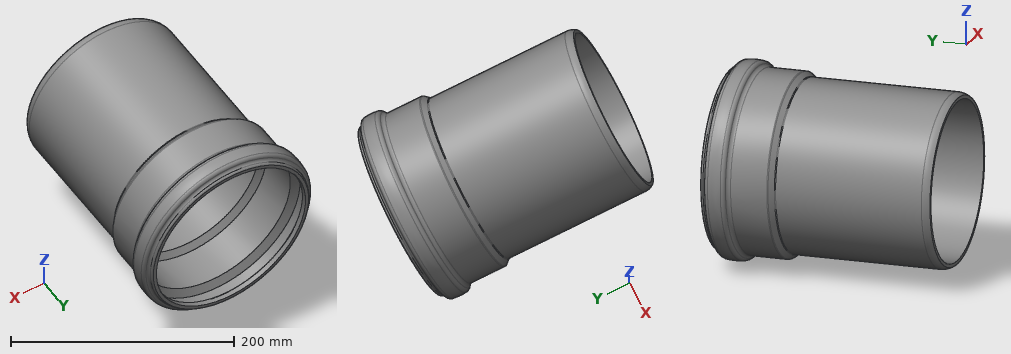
import cadquery as cq

length = 214.8
pipe_radius = 160.5 / 2
bore_radius = 149.5 / 2
socket_radius = 170.1 / 2
socket_bore_radius = 160.0 / 2
bead_radius = 182.0 / 2
groove_radius = 174.0 / 2

spigot_round_length = 7.3
spigot_round_depth = 2.4

cone_start_y = length - 69.2
cone_end_y = length - 63.5
cone_edge_fillet = 1.5

shoulder_start_y = length - 28.8
shoulder_mid_y = length - 25.0
crest_start_y = length - 20.8
crest_end_y = length - 8.8
back_shoulder_mid_y = length - 5.2
crest_bulge = 0.5
crest_edge_radius = bead_radius - crest_bulge
crest_mid_y = (crest_start_y + crest_end_y) / 2
shoulder_mid_radius = (socket_radius + crest_edge_radius) / 2

lip_length = 2.5
lip_radius = 84.8
lip_round_depth = 1.5

groove_flank_inset = 1.0
groove_floor_start_y = crest_start_y + groove_flank_inset
groove_floor_end_y = crest_end_y - groove_flank_inset


def arc_radius(axial, radial):
    """Radius of an arc that leaves the axial direction and drifts by radial over axial."""
    return (axial**2 + radial**2) / (2 * radial)


spigot_arc = arc_radius(spigot_round_length, spigot_round_depth)
front_shoulder_arc = arc_radius(crest_start_y - shoulder_mid_y, crest_edge_radius - shoulder_mid_radius)
back_shoulder_arc = arc_radius(back_shoulder_mid_y - crest_end_y, crest_edge_radius - shoulder_mid_radius)
lip_arc = arc_radius(lip_length, lip_round_depth)

section = (
    cq.Workplane("XY")
    .moveTo(bore_radius, 0)
    .lineTo(pipe_radius - spigot_round_depth, 0)
    .radiusArc((pipe_radius, spigot_round_length), -spigot_arc)
    .lineTo(pipe_radius, cone_start_y)
    .lineTo(socket_radius, cone_end_y)
    .lineTo(socket_radius, shoulder_start_y)
    .radiusArc((shoulder_mid_radius, shoulder_mid_y), front_shoulder_arc)
    .radiusArc((crest_edge_radius, crest_start_y), -front_shoulder_arc)
    .threePointArc((bead_radius, crest_mid_y), (crest_edge_radius, crest_end_y))
    .radiusArc((shoulder_mid_radius, back_shoulder_mid_y), -back_shoulder_arc)
    .radiusArc((lip_radius, length - lip_length), back_shoulder_arc)
    .radiusArc((lip_radius - lip_round_depth, length), -lip_arc)
    .lineTo(socket_bore_radius, length)
    .lineTo(socket_bore_radius, back_shoulder_mid_y)
    .lineTo(groove_radius, groove_floor_end_y)
    .lineTo(groove_radius, groove_floor_start_y)
    .lineTo(socket_bore_radius, shoulder_mid_y)
    .lineTo(socket_bore_radius, cone_end_y)
    .lineTo(bore_radius, cone_start_y)
    .close()
)
body = section.revolve(360, (0, 0, 0), (0, 1, 0))


def circle_at(radius, y):
    """Selector for the circular edge of the given radius around the Y axis."""
    margin = 0.2
    return cq.selectors.BoxSelector(
        (-radius - margin, y - margin, -radius - margin),
        (radius + margin, y + margin, radius + margin),
        boundingbox=True,
    ) - cq.selectors.BoxSelector(
        (-radius + margin, y - margin, -radius + margin),
        (radius - margin, y + margin, radius - margin),
        boundingbox=True,
    )


cone_edges = circle_at(pipe_radius, cone_start_y) + circle_at(socket_radius, cone_end_y)
result = body.edges("%CIRCLE").edges(cone_edges).fillet(cone_edge_fillet)